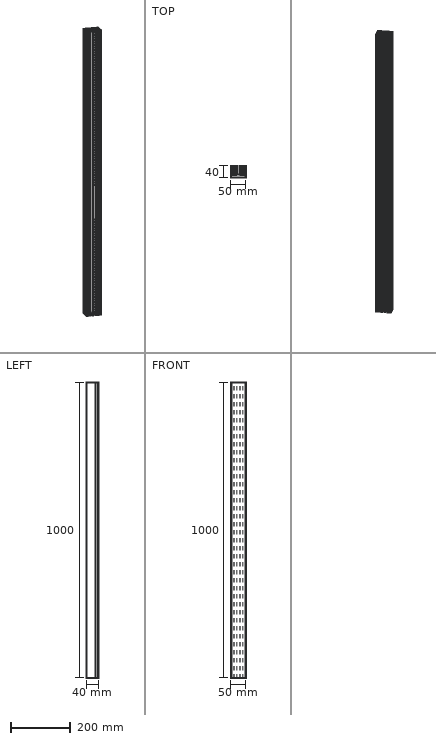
import cadquery as cq

width = 50.0
depth = 40.0
length = 1000.0
base_thickness = 10.0
corner_chamfer = 1.0
fin_count = 6
fin_thickness = 2.0
centre_rise = 1.0
channel_pitch = 11.0

outer_fin_x = (width - fin_thickness) / 2
side_pitch = (outer_fin_x - channel_pitch / 2) / (fin_count / 2 - 1)


def bar(x_size, y_size):
    """Full-length bar centred in X and Z, with its outer face on the base's outer face."""
    return (
        cq.Workplane("XY")
        .box(x_size, y_size, length, centered=(True, False, True))
        .translate((0, -depth / 2, 0))
    )


result = bar(width, base_thickness)
result = result.union(bar(channel_pitch, base_thickness + centre_rise))

for index in range(fin_count // 2):
    fin_x = channel_pitch / 2 + index * side_pitch
    for side in (-1, 1):
        result = result.union(bar(fin_thickness, depth).translate((side * fin_x, 0, 0)))

result = result.faces("<Y").edges("|Z").chamfer(corner_chamfer)